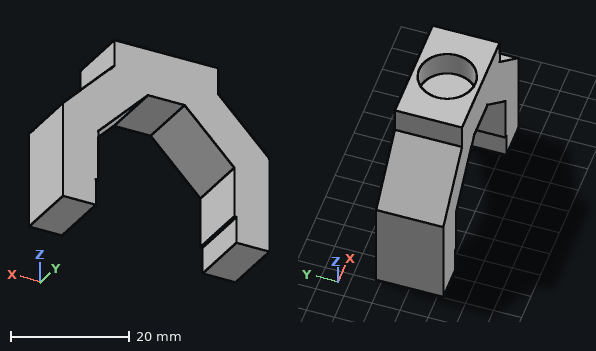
import cadquery as cq

width = 39.8
depth = 12.0
height = 33.05

block_width = 20.0
block_height = 5.0
hole_diameter = 10.0
hole_depth = 5.0

opening_width = 26.2
opening_flat_width = 7.05
crown_thickness = 9.0
foot_gap = 27.02
foot_height = 5.0

shoulder_base = height - block_height
shoulder_end = shoulder_base - (width - block_width) / 2
opening_top = height - crown_thickness
opening_shoulder_end = opening_top - (opening_width - opening_flat_width) / 2

half_outline = [
    (0, height),
    (block_width / 2, height),
    (block_width / 2, shoulder_base),
    (width / 2, shoulder_end),
    (width / 2, 0),
    (foot_gap / 2, 0),
    (foot_gap / 2, foot_height),
    (opening_width / 2, foot_height),
    (opening_width / 2, opening_shoulder_end),
    (opening_flat_width / 2, opening_top),
    (0, opening_top),
]

arch = cq.Workplane("XZ").polyline(half_outline).mirrorY().extrude(depth / 2, both=True)

hole = (
    cq.Workplane("XY", origin=(0, 0, height - hole_depth))
    .circle(hole_diameter / 2)
    .extrude(hole_depth)
)

result = arch.cut(hole)